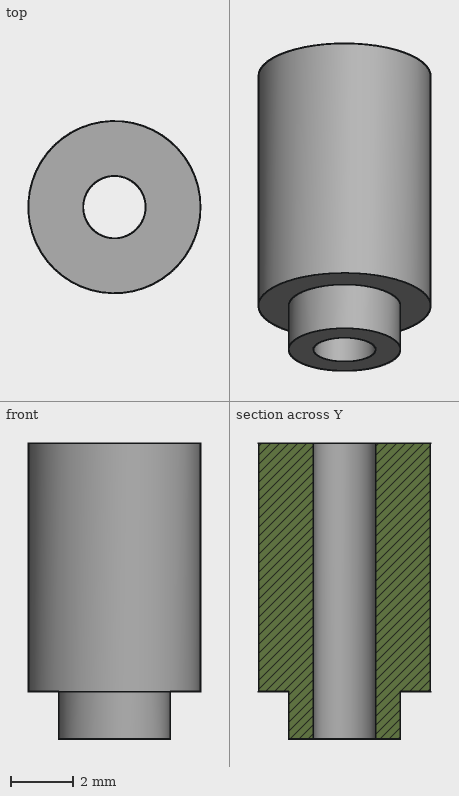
import cadquery as cq

total_height = 9.53
body_diameter = 5.56
spigot_diameter = 3.6
bore_diameter = 2.0
spigot_height = 1.525
body_height = total_height - spigot_height

spigot = cq.Workplane("XY").circle(spigot_diameter / 2).extrude(spigot_height)

body = (
    cq.Workplane("XY")
    .workplane(offset=spigot_height)
    .circle(body_diameter / 2)
    .extrude(body_height)
)

bore = cq.Workplane("XY").circle(bore_diameter / 2).extrude(total_height)

result = spigot.union(body).cut(bore)